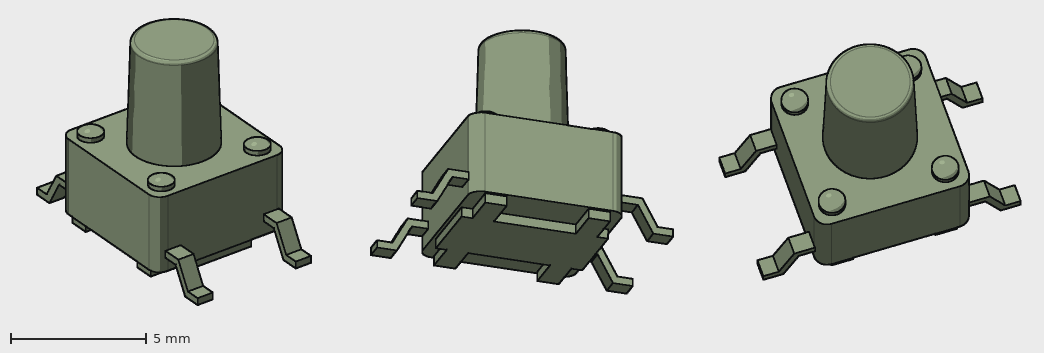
import cadquery as cq
import math

body_width = 6.0
corner_radius = 0.5
body_bottom_z = 0.48
body_top_z = 3.7

base_bottom_z = 0.1
base_width = 5.73
base_bar_depth = 2.88
foot_outer_x = 2.44
foot_inner_x = 1.6

button_bottom_diameter = 3.5
button_top_diameter = 3.23
button_top_z = 8.1
button_edge_radius = 0.15

rivet_diameter = 1.0
rivet_offset = 2.2
rivet_rim_height = 0.2
rivet_height = 0.4

lead_span = 10.0
lead_width = 0.7
lead_offset_y = 2.25
lead_thickness = 0.3
lead_shoulder_z = 1.38
lead_shoulder_x = 3.8
lead_slope_run = 0.6
lead_embed = 0.3


def make_body():
    height = body_top_z - body_bottom_z
    plane = cq.Workplane("XY").workplane(offset=body_bottom_z)
    block = plane.rect(body_width, body_width).extrude(height)
    return block.edges("|Z").fillet(corner_radius)


def make_base():
    height = body_bottom_z - base_bottom_z
    plane = cq.Workplane("XY").workplane(offset=base_bottom_z)
    base = plane.rect(base_width, base_bar_depth).extrude(height)
    foot_width = foot_outer_x - foot_inner_x
    foot_center_x = (foot_outer_x + foot_inner_x) / 2
    for side in (-1, 1):
        strip = plane.center(side * foot_center_x, 0).rect(foot_width, base_width).extrude(height)
        base = base.union(strip)
    return base


def make_button():
    bottom_radius = button_bottom_diameter / 2
    top_radius = button_top_diameter / 2
    profile = (
        cq.Workplane("XZ")
        .moveTo(0, body_top_z)
        .lineTo(bottom_radius, body_top_z)
        .lineTo(top_radius, button_top_z)
        .lineTo(0, button_top_z)
        .close()
    )
    cone = profile.revolve(360, (0, 0, 0), (0, 1, 0))
    return cone.faces(">Z").edges().fillet(button_edge_radius)


def make_rivet(x, y):
    radius = rivet_diameter / 2
    rim_z = body_top_z + rivet_rim_height
    peak_z = body_top_z + rivet_height
    dome_height = rivet_height - rivet_rim_height
    sphere_radius = (radius**2 + dome_height**2) / (2 * dome_height)
    half_angle = math.asin(radius / sphere_radius) / 2
    arc_middle = (
        sphere_radius * math.sin(half_angle),
        peak_z - sphere_radius * (1 - math.cos(half_angle)),
    )
    profile = (
        cq.Workplane("XZ")
        .moveTo(0, body_top_z)
        .lineTo(radius, body_top_z)
        .lineTo(radius, rim_z)
        .threePointArc(arc_middle, (0, peak_z))
        .close()
    )
    return profile.revolve(360, (0, 0, 0), (0, 1, 0)).translate((x, y, 0))


def make_lead(side, y):
    """Z-shaped lead of constant thickness; side is -1 or 1 along X."""
    tip_x = lead_span / 2
    inner_x = body_width / 2 - lead_embed
    toe_bend_x = lead_shoulder_x + lead_slope_run
    slope_rise = lead_shoulder_z - lead_thickness
    bend_angle = math.atan2(slope_rise, lead_slope_run)
    bend_shift = lead_thickness * math.tan(bend_angle / 2)
    outline = [
        (inner_x, lead_shoulder_z),
        (lead_shoulder_x, lead_shoulder_z),
        (toe_bend_x, lead_thickness),
        (tip_x, lead_thickness),
        (tip_x, 0),
        (toe_bend_x - bend_shift, 0),
        (lead_shoulder_x - bend_shift, lead_shoulder_z - lead_thickness),
        (inner_x, lead_shoulder_z - lead_thickness),
    ]
    points = [(side * x, z) for x, z in outline]
    lead = cq.Workplane("XZ").polyline(points).close().extrude(lead_width / 2, both=True)
    return lead.translate((0, y, 0))


result = make_body().union(make_base()).union(make_button())
for side_x in (-1, 1):
    for side_y in (-1, 1):
        result = result.union(make_rivet(side_x * rivet_offset, side_y * rivet_offset))
        result = result.union(make_lead(side_x, side_y * lead_offset_y))